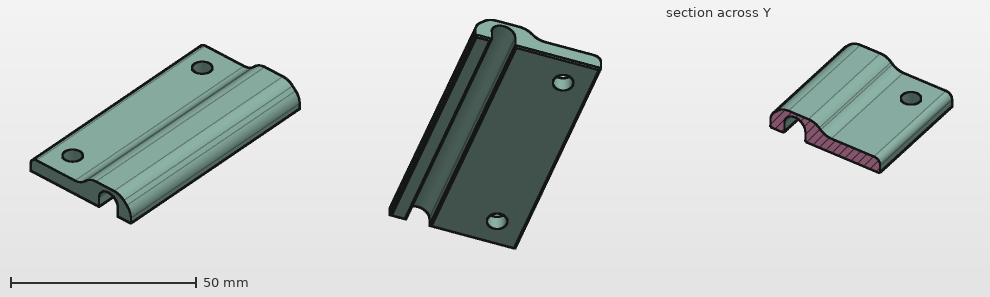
import cadquery as cq
import math

width = 36.0
length = 69.0
height = 8.4

flange_height = 5.05
flange_edge_radius = 2.1

blend_start_x = 15.95
blend_radius = 5.0
blend_angle = math.radians(45)

crown_start_x = 29.95
crown_radius = 5.0
crown_angle = math.radians(45)

channel_width = 6.7
channel_center_x = 27.95
channel_top = 6.9

hole_diameter = 5.5
hole_x = 8.0
hole_spacing = 52.9
bottom_chamfer = 0.5


def circle_point(center_x, center_z, radius, angle):
    """Point on a circle, with the angle measured from +X toward +Z."""
    return center_x + radius * math.cos(angle), center_z + radius * math.sin(angle)


def make_body():
    """Solid profile without the channel, extruded symmetrically along Y."""
    down = -math.pi / 2
    up = math.pi / 2
    valley = (blend_start_x, flange_height + blend_radius)

    arc_rise = blend_radius * (1 - math.cos(blend_angle))
    straight_run = (height - flange_height - 2 * arc_rise) / math.tan(blend_angle)
    blend_end_x = blend_start_x + 2 * blend_radius * math.sin(blend_angle) + straight_run
    shoulder = (blend_end_x, height - blend_radius)

    upper = (crown_start_x, height - crown_radius)
    flat_run = width - crown_radius - upper[0]
    lower = (upper[0] + flat_run, upper[1] - flat_run * math.tan(crown_angle))
    half_upper = up - crown_angle / 2
    crown_flat = up - crown_angle
    edge = (flange_edge_radius, flange_height - flange_edge_radius)

    profile = (
        cq.Workplane("XZ")
        .moveTo(0, 0)
        .lineTo(0, edge[1])
        .threePointArc(
            circle_point(*edge, flange_edge_radius, math.radians(135)),
            (edge[0], flange_height),
        )
        .lineTo(blend_start_x, flange_height)
        .threePointArc(
            circle_point(*valley, blend_radius, down + blend_angle / 2),
            circle_point(*valley, blend_radius, down + blend_angle),
        )
        .lineTo(*circle_point(*shoulder, blend_radius, up + blend_angle))
        .threePointArc(
            circle_point(*shoulder, blend_radius, up + blend_angle / 2),
            (blend_end_x, height),
        )
        .lineTo(crown_start_x, height)
        .threePointArc(
            circle_point(*upper, crown_radius, half_upper),
            circle_point(*upper, crown_radius, crown_flat),
        )
        .lineTo(*circle_point(*lower, crown_radius, crown_flat))
        .threePointArc(
            circle_point(*lower, crown_radius, crown_flat / 2),
            (width, lower[1]),
        )
        .lineTo(width, 0)
        .close()
    )
    return profile.extrude(length / 2, both=True)


def make_channel():
    """Full-length cutter: a straight slot with a half-round roof."""
    radius = channel_width / 2
    spring_z = channel_top - radius
    return (
        cq.Workplane("XZ")
        .moveTo(channel_center_x - radius, 0)
        .lineTo(channel_center_x - radius, spring_z)
        .threePointArc((channel_center_x, channel_top), (channel_center_x + radius, spring_z))
        .lineTo(channel_center_x + radius, 0)
        .close()
        .extrude(length / 2, both=True)
    )


def make_holes():
    """Two through-hole cutters in the flange."""
    return (
        cq.Workplane("XY")
        .pushPoints([(hole_x, -hole_spacing / 2), (hole_x, hole_spacing / 2)])
        .circle(hole_diameter / 2)
        .extrude(height)
    )


body = make_body().cut(make_channel())
body = body.faces("<Z").edges().chamfer(bottom_chamfer)
result = body.cut(make_holes())